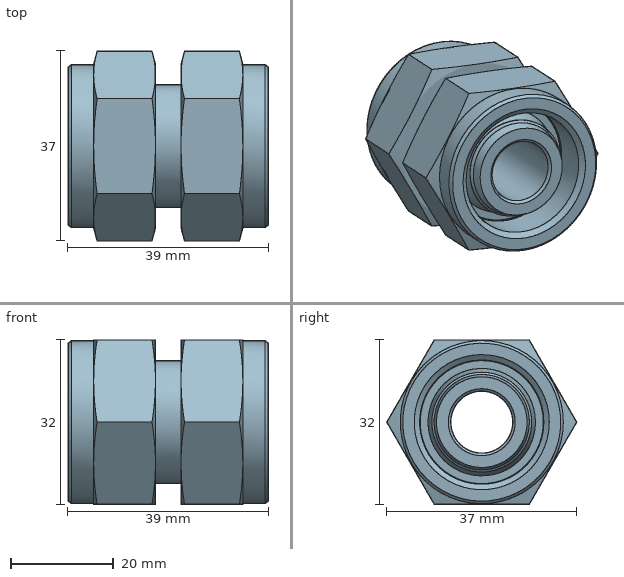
import cadquery as cq
import math

length = 39.0
nut_length = 17.0
collar_length = 5.0

across_flats = 32.0
hex_chamfer_angle = 15.0
collar_radius = 15.87
collar_chamfer_axial = 0.65
collar_chamfer_radial = 0.5
bore_mouth_radius = 13.15
bore_mouth_depth = 0.85
recess_radius = 12.1
recess_depth = 8.7

barrel_radius = 11.97
tip_depth = 1.4
tip_radius = 8.8
cone_root_radius = 10.45
cone_half_angle = 12.0
passage_radius = 6.0
passage_chamfer = 0.5

bead_section_radius = 0.6
bead_crest_radius = 9.7
bead_distance = 2.73

middle = length / 2
corner_radius = across_flats / 2 / math.cos(math.pi / 6)
cone_slope = math.tan(math.radians(cone_half_angle))
cone_length = (cone_root_radius - tip_radius) / cone_slope


def revolve_about_x(points):
    """Turn a closed outline of (x, radius) points about the X axis."""
    return cq.Workplane("XY").polyline(points).close().revolve(360, (0, 0, 0), (1, 0, 0))


def chamfered_hexagon():
    """Hexagonal prism, flats up and down, with conical chamfers on both end faces."""
    flat_radius = across_flats / 2
    chamfer = (corner_radius - flat_radius) * math.tan(math.radians(hex_chamfer_angle))
    prism = (
        cq.Workplane("YZ", origin=(collar_length, 0, 0))
        .polygon(6, 2 * corner_radius)
        .extrude(nut_length - collar_length)
    )
    envelope = revolve_about_x([
        (collar_length, 0),
        (collar_length, flat_radius),
        (collar_length + chamfer, corner_radius),
        (nut_length - chamfer, corner_radius),
        (nut_length, flat_radius),
        (nut_length, 0),
    ])
    return prism.intersect(envelope)


def left_nut():
    """Nut whose collar end lies in the plane X = 0."""
    collar = revolve_about_x([
        (0, 0),
        (0, collar_radius - collar_chamfer_radial),
        (collar_chamfer_axial, collar_radius),
        (collar_length, collar_radius),
        (collar_length, 0),
    ])
    bore = revolve_about_x([
        (0, 0),
        (0, bore_mouth_radius),
        (bore_mouth_depth, recess_radius),
        (recess_depth, recess_radius),
        (recess_depth, barrel_radius),
        (nut_length, barrel_radius),
        (nut_length, 0),
    ])
    return chamfered_hexagon().union(collar).cut(bore)


def body_blank():
    """Barrel with a cone at each end and a chamfered passage along the axis."""
    left_outline = [
        (tip_depth + passage_chamfer, passage_radius),
        (tip_depth, passage_radius + passage_chamfer),
        (tip_depth, tip_radius),
        (tip_depth + cone_length, cone_root_radius),
        (tip_depth + cone_length, barrel_radius),
    ]
    right_outline = [(length - x, radius) for x, radius in reversed(left_outline)]
    return revolve_about_x(left_outline + right_outline)


def sealing_bead(x):
    """Ring of round section about the X axis, centred at the given X."""
    ring_radius = bead_crest_radius - bead_section_radius
    ring = cq.Solid.makeTorus(ring_radius, bead_section_radius, cq.Vector(x, 0, 0), cq.Vector(1, 0, 0))
    return cq.Workplane(obj=ring)


def coupling_body():
    """Body with a bead standing proud of each cone."""
    body = body_blank()
    bead_x = tip_depth + bead_distance
    for x in (bead_x, length - bead_x):
        body = body.union(sealing_bead(x))
    return body


body = coupling_body()
nuts = [left_nut(), left_nut().mirror("YZ", (middle, 0, 0))]

result = cq.Compound.makeCompound([body.val(), *[nut.val() for nut in nuts]])